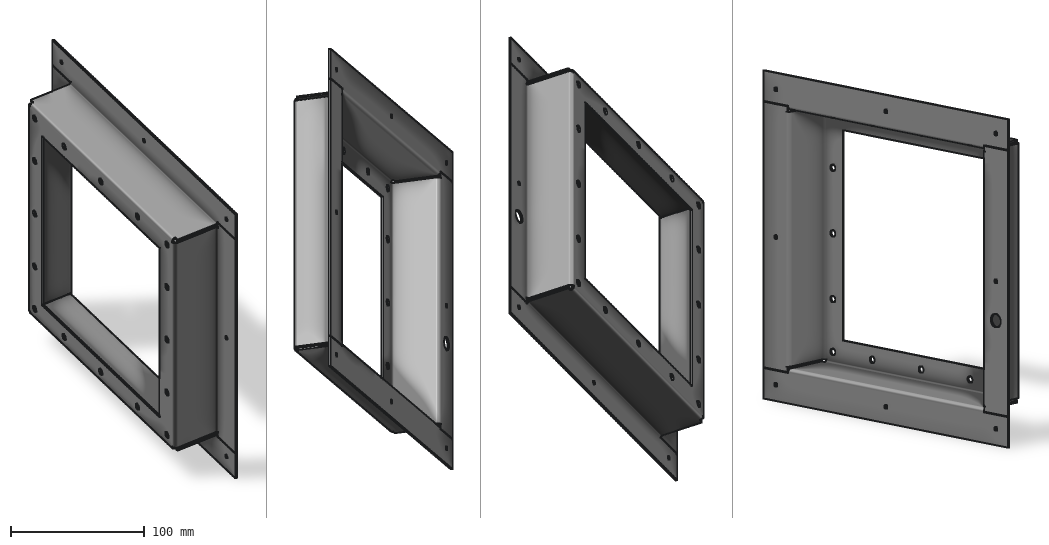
import cadquery as cq

size = 251.0
depth = 40.0
sheet = 1.5
bend_radius = 1.6
box_size = 201.0
window = 161.0
slot = 0.5

flange_hole_dia = 3.0
flange_hole_offset = 113.0
front_hole_dia = 5.0
front_hole_offset = 90.5
front_hole_inner_offset = 50.2
cable_hole_dia = 10.3
cable_hole_z = -30.0

half_size = size / 2
half_box = box_size / 2
outer_radius = bend_radius + sheet
front_half = half_box - outer_radius
flange_inner = half_box + bend_radius
flange_front_y = depth - sheet
wall_back_y = flange_front_y - bend_radius


def block(x_range, y_range, z_range):
    """Box spanning the given ranges."""
    lengths = [end - start for start, end in (x_range, y_range, z_range)]
    low_corner = (x_range[0], y_range[0], z_range[0])
    return cq.Workplane("XY").box(*lengths, centered=False).translate(low_corner)


def quarter_bend(center_y, center_z, y_sign, z_sign, half_length):
    """Quarter tube along X around the given centre, filling the quadrant named by the two signs."""
    tube = (
        cq.Workplane("YZ", origin=(-half_length, center_y, center_z))
        .circle(outer_radius)
        .circle(bend_radius)
        .extrude(2 * half_length)
    )
    y_range = sorted((center_y, center_y + y_sign * outer_radius))
    z_range = sorted((center_z, center_z + z_sign * outer_radius))
    return tube.intersect(block((-half_length, half_length), y_range, z_range))


def wall_with_bends(wall_half_length):
    """Upper box wall with its front bend, as long as the flat front, and its foot bend."""
    wall = block(
        (-wall_half_length, wall_half_length),
        (outer_radius, wall_back_y),
        (half_box - sheet, half_box),
    )
    front_bend = quarter_bend(outer_radius, front_half, -1, 1, front_half)
    foot_bend = quarter_bend(wall_back_y, flange_inner, 1, -1, wall_half_length)
    return wall.union(front_bend).union(foot_bend)


def long_side():
    """Upper side: full-width wall and a flange strip as wide as the part."""
    strip = block((-half_size, half_size), (flange_front_y, depth), (flange_inner, half_size))
    return wall_with_bends(half_box).union(strip)


def short_side():
    """Upper side whose wall stops short of the corners, with flange tabs beyond its ends."""
    tab_end = flange_inner - slot
    strip = block((-tab_end, tab_end), (flange_front_y, depth), (flange_inner, half_size))
    side = wall_with_bends(front_half).union(strip)
    for start, end in ((-tab_end, -front_half), (front_half, tab_end)):
        tab = block((start, end), (flange_front_y, depth), (half_box + slot, flange_inner))
        side = side.union(tab)
    return side


def holes(points, diameter):
    """Round cutters along Y at the given (x, z) points."""
    drill = cq.Workplane("XZ").pushPoints(points).circle(diameter / 2)
    return drill.extrude(-depth)


def turned(body, angle):
    """Body turned about the Y axis through the window centre."""
    return body.rotate((0, 0, 0), (0, 1, 0), angle)


front = block((-front_half, front_half), (0, sheet), (-front_half, front_half))
opening = cq.Workplane("XZ").rect(window, window).extrude(-sheet)
result = front.cut(opening)

for side, angles in ((long_side(), (0, 180)), (short_side(), (90, 270))):
    for angle in angles:
        result = result.union(turned(side, angle))

flange_steps = (-flange_hole_offset, 0, flange_hole_offset)
flange_points = [(x, z) for x in flange_steps for z in flange_steps if (x, z) != (0, 0)]
result = result.cut(holes(flange_points, flange_hole_dia))

front_steps = (
    -front_hole_offset,
    -front_hole_inner_offset,
    0,
    front_hole_inner_offset,
    front_hole_offset,
)
front_points = [
    (x, z)
    for x in front_steps
    for z in front_steps
    if max(abs(x), abs(z)) == front_hole_offset
]
result = result.cut(holes(front_points, front_hole_dia))

result = result.cut(holes([(-flange_hole_offset, cable_hole_z)], cable_hole_dia))